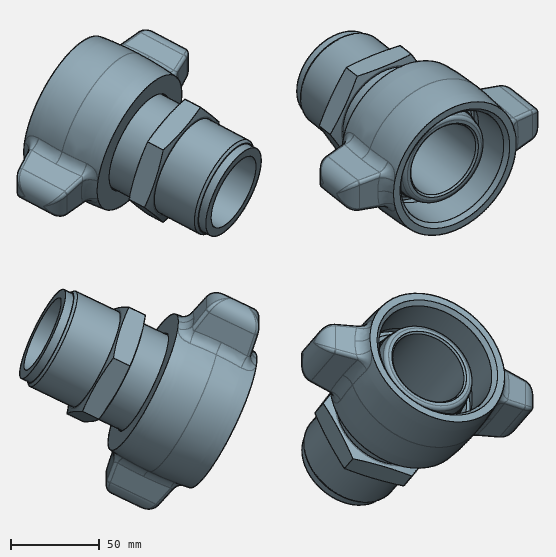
import cadquery as cq
import math

total_length = 114.0
nut_length = 50.0
nut_center = nut_length / 2

nut_crown_radius = 44.0
nut_end_radius = 42.5
nut_bore_radius = 71.2 / 2
nut_mouth_radius = 76.0 / 2
nut_mouth_depth = 2.5
nut_bore_depth = 26.7
nut_relief_radius = nut_mouth_radius
nut_shoulder_depth = 34.2
nut_rear_hole_radius = 61.0 / 2

wing_tip = 68.5
wing_root = 38.4
wing_plan_taper = math.radians(10)
wing_side_taper = math.radians(6.5)
wing_tip_half_width = 15.0
wing_corner_radius = 10.3
wing_nose_radius = 10.1
wing_edge_fillet = 2.0
wing_root_fillet = 7.5
wing_root_limit = 45.2
wing_root_reach = 20.5
nut_blank_extra = 6.8

tube_radius = 59.6 / 2
tube_bore_radius = 45.0 / 2
tube_bore_chamfer = 1.1
spigot_radius = 55.6 / 2
spigot_length = 5.0
thread_end_radius = 56.7 / 2
thread_end_chamfer = 1.5
nose_start = 10.1
nose_face_radius = 25.6
nose_round = 2.3
nose_taper = math.radians(10)
shoulder_inner_radius = 31.0
shoulder_taper = math.radians(60)
flange_radius = 69.0 / 2

ring_wire_radius = 1.4
ring_front_edge_radius = 28.9

hex_start = 66.7
hex_length = 13.5
hex_across_flats = 64.8
hex_face_radius = 30.7
hex_corner_setback = 1.5

hex_corner_radius = hex_across_flats / 2 / math.cos(math.pi / 6)

round_center_x = nose_start + nose_round
taper_start_x = round_center_x - nose_round * math.sin(nose_taper)
taper_start_radius = nose_face_radius + nose_round * math.cos(nose_taper)
shoulder_start = taper_start_x + (shoulder_inner_radius - taper_start_radius) / math.tan(nose_taper)
shoulder_end = shoulder_start + (flange_radius - shoulder_inner_radius) / math.tan(shoulder_taper)
groove_start = taper_start_x + (ring_front_edge_radius - taper_start_radius) / math.tan(nose_taper)
groove_width = 2 * ring_wire_radius
ring_center_x = groove_start + ring_wire_radius
ring_center_radius = ring_front_edge_radius + groove_width * math.tan(nose_taper) - ring_wire_radius


def revolve_about_x(profile):
    """Turn a closed (x, radius) profile around the X axis."""
    return profile.close().revolve(360, (0, 0, 0), (1, 0, 0))


def cylinder(start, length, radius):
    return cq.Workplane("YZ", origin=(start, 0, 0)).circle(radius).extrude(length)


def make_wing():
    """Wing along +Y: a plan outline crossed with a side outline, both tapered and rounded at the tip."""
    root_half_width = wing_tip_half_width + (wing_tip - wing_root) * math.tan(wing_plan_taper)
    plan = (
        cq.Workplane("XY", origin=(nut_center, 0, -nut_crown_radius))
        .moveTo(-root_half_width, wing_root)
        .lineTo(-wing_tip_half_width, wing_tip)
        .lineTo(wing_tip_half_width, wing_tip)
        .lineTo(root_half_width, wing_root)
        .close()
        .extrude(2 * nut_crown_radius)
        .edges("|Z and >Y")
        .fillet(wing_corner_radius)
    )
    tangent_y = wing_tip - wing_nose_radius * (1 - math.sin(wing_side_taper))
    tangent_z = wing_nose_radius * math.cos(wing_side_taper)
    root_half_height = tangent_z + (tangent_y - wing_root) * math.tan(wing_side_taper)
    side = (
        cq.Workplane("YZ")
        .moveTo(wing_root, -root_half_height)
        .lineTo(tangent_y, -tangent_z)
        .threePointArc((wing_tip, 0), (tangent_y, tangent_z))
        .lineTo(wing_root, root_half_height)
        .close()
        .extrude(nut_length)
    )
    lengthwise_edges = "not(#Y or |X)"
    return plan.intersect(side).edges(lengthwise_edges).fillet(wing_edge_fillet)


def make_wing_nut():
    rise = nut_crown_radius - nut_end_radius
    crown_arc_radius = (nut_center**2 + rise**2) / (2 * rise)
    blank_half_length = nut_center + nut_blank_extra
    blank_drop = crown_arc_radius - math.sqrt(crown_arc_radius**2 - blank_half_length**2)
    blank_end_radius = nut_crown_radius - blank_drop
    blank_start = nut_center - blank_half_length
    blank_end = nut_center + blank_half_length
    blank = revolve_about_x(
        cq.Workplane("XY")
        .moveTo(blank_start, 0)
        .lineTo(blank_start, blank_end_radius)
        .radiusArc((nut_center, nut_crown_radius), crown_arc_radius)
        .radiusArc((blank_end, blank_end_radius), crown_arc_radius)
        .lineTo(blank_end, 0)
    )
    wing = make_wing()
    for turn in (0, 180):
        blank = blank.union(wing.rotate((0, 0, 0), (1, 0, 0), turn), clean=False)
    for side in (1, -1):
        near = (0, side * wing_root, -wing_root_reach)
        far = (nut_length, side * wing_root_limit, wing_root_reach)
        root_edges = cq.selectors.BoxSelector(near, far, boundingbox=True)
        blank = blank.edges(root_edges).fillet(wing_root_fillet)

    between_end_faces = cylinder(0, nut_length, 2 * wing_tip)
    bore = revolve_about_x(
        cq.Workplane("XY")
        .moveTo(0, 0)
        .lineTo(0, nut_mouth_radius)
        .lineTo(nut_mouth_depth, nut_bore_radius)
        .lineTo(nut_bore_depth, nut_bore_radius)
        .lineTo(nut_bore_depth, nut_relief_radius)
        .lineTo(nut_shoulder_depth, nut_relief_radius)
        .lineTo(nut_shoulder_depth, nut_rear_hole_radius)
        .lineTo(nut_length, nut_rear_hole_radius)
        .lineTo(nut_length, 0)
    )
    return blank.intersect(between_end_faces, clean=False).cut(bore, clean=False)


def make_nipple():
    spigot_start = total_length - spigot_length
    body = revolve_about_x(
        cq.Workplane("XY")
        .moveTo(nose_start, tube_bore_radius + tube_bore_chamfer)
        .lineTo(nose_start, nose_face_radius)
        .radiusArc((taper_start_x, taper_start_radius), nose_round)
        .lineTo(shoulder_start, shoulder_inner_radius)
        .lineTo(shoulder_end, flange_radius)
        .lineTo(nut_shoulder_depth, flange_radius)
        .lineTo(nut_shoulder_depth, tube_radius)
        .lineTo(spigot_start - thread_end_chamfer, tube_radius)
        .lineTo(spigot_start, thread_end_radius)
        .lineTo(spigot_start, spigot_radius)
        .lineTo(total_length, spigot_radius)
        .lineTo(total_length, tube_bore_radius)
        .lineTo(nose_start + tube_bore_chamfer, tube_bore_radius)
    )
    groove_bottom_radius = ring_center_radius - ring_wire_radius
    groove = cylinder(groove_start, groove_width, flange_radius).cut(
        cylinder(groove_start, groove_width, groove_bottom_radius)
    )
    return body.cut(groove)


def make_o_ring():
    wire = cq.Workplane("XY").center(ring_center_x, ring_center_radius).circle(ring_wire_radius)
    axis_start = (0, -ring_center_radius, 0)
    axis_end = (1, -ring_center_radius, 0)
    return wire.revolve(360, axis_start, axis_end)


def make_hex_nut():
    prism = (
        cq.Workplane("YZ", origin=(hex_start, 0, 0))
        .polygon(6, 2 * hex_corner_radius)
        .extrude(hex_length)
    )
    hex_end = hex_start + hex_length
    corner_chamfers = revolve_about_x(
        cq.Workplane("XY")
        .moveTo(hex_start, 0)
        .lineTo(hex_start, hex_face_radius)
        .lineTo(hex_start + hex_corner_setback, hex_corner_radius)
        .lineTo(hex_end - hex_corner_setback, hex_corner_radius)
        .lineTo(hex_end, hex_face_radius)
        .lineTo(hex_end, 0)
    )
    return prism.intersect(corner_chamfers).cut(cylinder(hex_start, hex_length, tube_radius))


wing_nut = make_wing_nut()
nipple = make_nipple()
o_ring = make_o_ring()
hex_nut = make_hex_nut()

result = cq.Compound.makeCompound([wing_nut.val(), nipple.val(), o_ring.val(), hex_nut.val()])